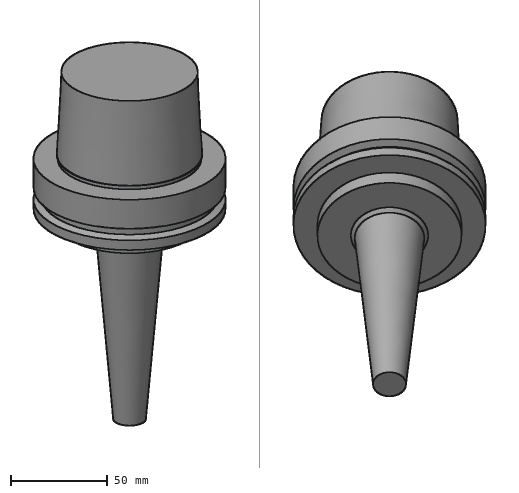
import cadquery as cq

total_height = 200.0
flange_top = 150.0
flange_bottom = 121.0
collar_bottom = 113.2
band_height = 2.2

flange_diameter = 100.0
collar_diameter = 75.0
shank_base_diameter = 75.8
shank_top_diameter = 71.0

groove_diameter = 92.0
groove_top = 133.2
groove_bottom = 126.5
groove_upper_slope = 1.5
groove_lower_slope = 1.5

tip_diameter = 17.2
nose_root_diameter = 36.2
flare_size = 2.0


def turned_section(bottom, bottom_diameter, top, top_diameter):
    """Solid cone or cylinder about Z between two heights."""
    return (
        cq.Workplane("XZ")
        .moveTo(0, bottom)
        .lineTo(bottom_diameter / 2, bottom)
        .lineTo(top_diameter / 2, top)
        .lineTo(0, top)
        .close()
        .revolve(360, (0, 0, 0), (0, 1, 0))
    )


def flange():
    """Gripper flange with its groove turned into the rim."""
    rim_radius = flange_diameter / 2
    groove_radius = groove_diameter / 2
    return (
        cq.Workplane("XZ")
        .moveTo(0, flange_bottom)
        .lineTo(rim_radius, flange_bottom)
        .lineTo(rim_radius, groove_bottom)
        .lineTo(groove_radius, groove_bottom + groove_lower_slope)
        .lineTo(groove_radius, groove_top - groove_upper_slope)
        .lineTo(rim_radius, groove_top)
        .lineTo(rim_radius, flange_top)
        .lineTo(0, flange_top)
        .close()
        .revolve(360, (0, 0, 0), (0, 1, 0))
    )


def nose():
    """Slender taper ending in a conical flare against the collar."""
    flare_start = collar_bottom - flare_size
    taper = turned_section(0, tip_diameter, flare_start, nose_root_diameter)
    flare_diameter = nose_root_diameter + 2 * flare_size
    flare = turned_section(flare_start, nose_root_diameter, collar_bottom, flare_diameter)
    return taper.union(flare)


def shank():
    """Tapered shank above a short, slightly narrower cylindrical band."""
    band_top = flange_top + band_height
    band = turned_section(flange_top, collar_diameter, band_top, collar_diameter)
    taper = turned_section(band_top, shank_base_diameter, total_height, shank_top_diameter)
    return band.union(taper)


collar = turned_section(collar_bottom, collar_diameter, flange_bottom, collar_diameter)
result = nose().union(collar).union(flange()).union(shank())